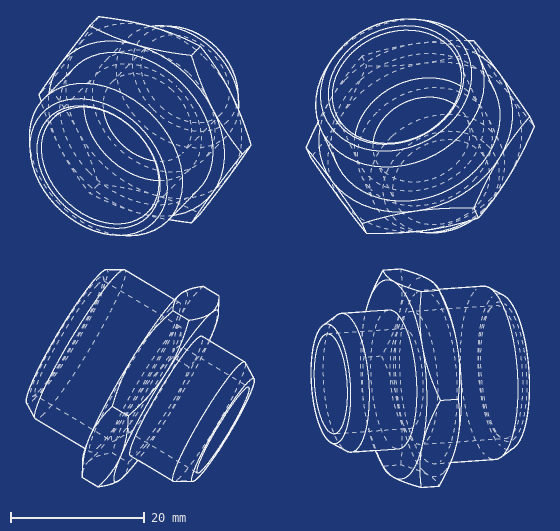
import cadquery as cq
import math

hex_corner_diameter = 34.65
hex_flat_radius = hex_corner_diameter / 2 * math.cos(math.radians(30))
hex_width = 5.5
hex_chamfer_angle = 30.0

large_length = 12.0
large_radius = 13.05
large_tip_radius = 11.7
large_taper_length = 2.32
small_length = 10.0
small_radius = 10.45
small_tip_radius = 9.0
small_taper_length = 2.45

mouth_radius = 10.5
wide_bore_radius = 10.0
narrow_bore_radius = 7.5
mouth_chamfer_length = 0.5
wide_bore_depth = 14.0
bore_cone_length = 1.45

hex_front = large_length
hex_back = hex_front + hex_width
total_length = hex_back + small_length


def revolve_about_y(profile):
    """Revolve a closed (y, radius) profile around the Y axis."""
    return cq.Workplane("YZ").polyline(profile).close().revolve(360, (0, 0, 0), (1, 0, 0))


def make_collar():
    """Hexagon with both ends turned down to a cone touching the flats."""
    corner_radius = hex_corner_diameter / 2
    corner_drop = (corner_radius - hex_flat_radius) * math.tan(math.radians(hex_chamfer_angle))
    prism = (
        cq.Workplane("XZ", origin=(0, hex_back, 0))
        .polygon(6, hex_corner_diameter)
        .extrude(hex_width)
    )
    envelope = revolve_about_y([
        (hex_front, 0),
        (hex_front, hex_flat_radius),
        (hex_front + corner_drop, corner_radius),
        (hex_back - corner_drop, corner_radius),
        (hex_back, hex_flat_radius),
        (hex_back, 0),
    ])
    return prism.intersect(envelope)


def make_spigots():
    """Both tapered spigots, joined by a core through the collar."""
    return revolve_about_y([
        (0, 0),
        (0, large_tip_radius),
        (large_taper_length, large_radius),
        (hex_front, large_radius),
        (hex_front, small_radius),
        (total_length - small_taper_length, small_radius),
        (total_length, small_tip_radius),
        (total_length, 0),
    ])


def make_bore():
    """Chamfered wide bore that narrows through a cone to the through hole."""
    return revolve_about_y([
        (0, 0),
        (0, mouth_radius),
        (mouth_chamfer_length, wide_bore_radius),
        (wide_bore_depth, wide_bore_radius),
        (wide_bore_depth + bore_cone_length, narrow_bore_radius),
        (total_length, narrow_bore_radius),
        (total_length, 0),
    ])


result = make_collar().union(make_spigots()).cut(make_bore())
result = result.translate((0, -total_length / 2, 0))